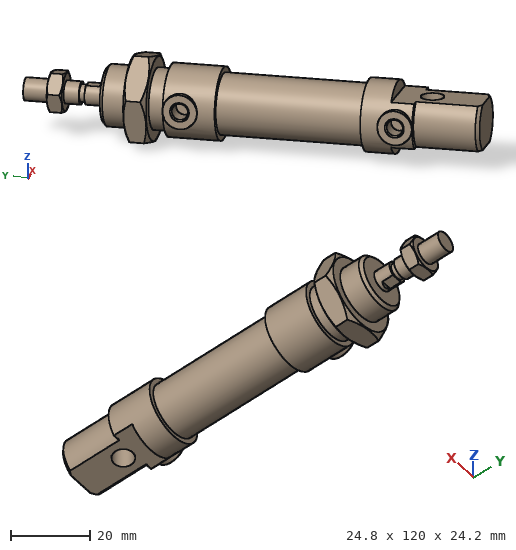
import cadquery as cq
import math


total_length = 120.0

tube_dia = 16.0
collar_dia = 19.0
collar_length = 13.5
rear_collar_y = 17.0
front_collar_end_y = 82.0
head_face_y = 99.0
end_chamfer = 0.9

tongue_thickness = 12.0
tongue_length = 23.0
pivot_hole_dia = 6.0
pivot_hole_y = 14.0

port_boss_dia = 9.0
port_face_x = 9.9
port_hole_dia = 4.2
port_mouth_dia = 5.0
port_depth = 5.0

rod_dia = 6.0
undercut_dia = 4.6
undercut_start_y = 104.0
undercut_end_y = 105.5
wrench_flat_width = 5.1
wrench_flat_start_y = 100.5

nut_sides = 6
rod_nut_width = 10.0
rod_nut_thickness = 4.0
rod_nut_y = 109.4
rod_nut_turn = -7.5
rod_nut_face_dia = 9.8
mount_nut_width = 22.0
mount_nut_thickness = 6.0
mount_nut_y = 86.0
mount_nut_turn = -12.4
mount_nut_face_dia = 21.6
nut_chamfer_angle = 30.0


def cylinder_along_y(diameter, start_y, end_y):
    """Solid cylinder on the Y axis."""
    base = cq.Workplane("XZ", origin=(0, start_y, 0))
    return base.circle(diameter / 2).extrude(start_y - end_y)


def make_port_boss(center_y):
    """Round boss reaching from the cylinder axis to the port face at -X."""
    base = cq.Workplane("YZ", origin=(0, center_y, 0))
    return base.circle(port_boss_dia / 2).extrude(-port_face_x)


def make_port_bore(center_y):
    """Blind port hole with a 45 degree countersunk mouth, turned about the port axis."""
    mouth_radius = port_mouth_dia / 2
    hole_radius = port_hole_dia / 2
    mouth_end_x = -port_face_x + mouth_radius - hole_radius
    bottom_x = -port_face_x + port_depth
    profile = [
        (-port_face_x, 0),
        (-port_face_x, mouth_radius),
        (mouth_end_x, hole_radius),
        (bottom_x, hole_radius),
        (bottom_x, 0),
    ]
    bore = cq.Workplane("XY").polyline(profile).close()
    return bore.revolve(360, (0, 0), (1, 0)).translate((0, center_y, 0))


def make_cylinder_body():
    """Tube, both collars, air ports and the flattened pivot tongue."""
    front_collar_y = front_collar_end_y - collar_length
    rear_collar_end_y = rear_collar_y + collar_length
    front_port_y = front_collar_end_y - port_boss_dia / 2
    rear_port_y = rear_collar_y + port_boss_dia / 2

    body = cylinder_along_y(tube_dia, 0, head_face_y)
    body = body.faces("<Y or >Y").chamfer(end_chamfer)
    body = body.union(cylinder_along_y(collar_dia, front_collar_y, front_collar_end_y))
    body = body.union(cylinder_along_y(collar_dia, rear_collar_y, rear_collar_end_y))

    for side in (-1, 1):
        flat_cut = cq.Workplane("XY").box(
            collar_dia, tongue_length, collar_dia, centered=(True, False, True)
        )
        body = body.cut(flat_cut.translate((0, 0, side * (tongue_thickness + collar_dia) / 2)))

    for port_y in (front_port_y, rear_port_y):
        body = body.union(make_port_boss(port_y))
        body = body.cut(make_port_bore(port_y))

    pivot_hole = cq.Workplane("XY").center(0, pivot_hole_y).circle(pivot_hole_dia / 2)
    return body.cut(pivot_hole.extrude(tongue_thickness, both=True))


def make_piston_rod():
    """Rod with a thread undercut and two wrench flats, starting at the head face."""
    rod = cylinder_along_y(rod_dia, head_face_y, total_length)
    undercut = cylinder_along_y(rod_dia, undercut_start_y, undercut_end_y)
    undercut = undercut.cut(cylinder_along_y(undercut_dia, undercut_start_y, undercut_end_y))
    rod = rod.cut(undercut)

    flat_z = wrench_flat_width / 2
    outer_z = rod_dia / 2
    runout_y = wrench_flat_start_y - (outer_z - flat_z)
    profile = [
        (undercut_start_y, flat_z),
        (wrench_flat_start_y, flat_z),
        (runout_y, outer_z),
        (undercut_start_y, outer_z),
    ]
    flat_cut = cq.Workplane("YZ").polyline(profile).close().extrude(rod_dia / 2, both=True)
    return rod.cut(flat_cut).cut(flat_cut.mirror("XY"))


def make_hex_nut(width, thickness, bore_dia, face_dia, start_y, turn):
    """Hexagon nut on the Y axis, its corners bevelled by a cone at both faces."""
    corner_dia = width / math.cos(math.pi / nut_sides)
    corner_radius = corner_dia / 2
    face_radius = face_dia / 2
    bevel_height = (corner_radius - face_radius) * math.tan(math.radians(nut_chamfer_angle))
    end_y = start_y + thickness

    base = cq.Workplane("XZ", origin=(0, start_y, 0))
    nut = base.polygon(nut_sides, corner_dia).extrude(-thickness)
    nut = nut.rotate((0, 0, 0), (0, 1, 0), -turn)

    envelope_profile = [
        (0, start_y),
        (face_radius, start_y),
        (corner_radius, start_y + bevel_height),
        (corner_radius, end_y - bevel_height),
        (face_radius, end_y),
        (0, end_y),
    ]
    envelope = cq.Workplane("XY").polyline(envelope_profile).close()
    nut = nut.intersect(envelope.revolve(360, (0, 0), (0, 1)))
    return nut.cut(cylinder_along_y(bore_dia, start_y, end_y))


cylinder_body = make_cylinder_body()
piston_rod = make_piston_rod()
rod_nut = make_hex_nut(
    rod_nut_width, rod_nut_thickness, rod_dia, rod_nut_face_dia, rod_nut_y, rod_nut_turn
)
mount_nut = make_hex_nut(
    mount_nut_width, mount_nut_thickness, tube_dia, mount_nut_face_dia, mount_nut_y, mount_nut_turn
)

result = cq.Compound.makeCompound(
    [cylinder_body.val(), piston_rod.val(), rod_nut.val(), mount_nut.val()]
)